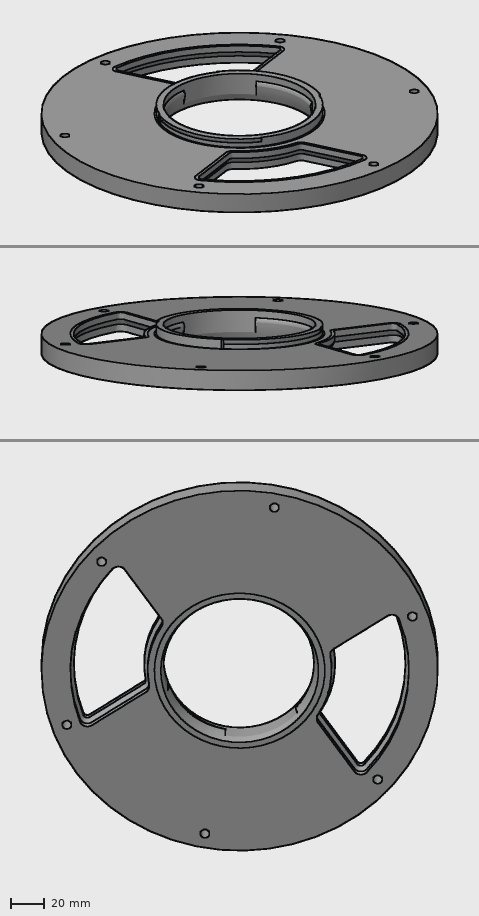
import cadquery as cq
import math

plate_diameter = 240
plate_thickness = 12.2
total_height = 18.0

screw_hole_diameter = 5.5
screw_hole_count = 6
screw_circle_radius = 110.6
first_screw_angle = 90

window_outer_radius = 102.5
window_inner_radius = 55.7
window_side_offset = 20.0
window_corner_radius = 4.8
frame_thickness = 2.2
frame_taper_top = 8.2
frame_taper_bottom = 4.5
window_angles = (0, 180)

flange_radius = 103.2 / 2
bore_radius = 92.2 / 2
neck_radius = 50.5
wall_middle_radius = (bore_radius + neck_radius) / 2

arc_bow = 0.25

lip_radius = 51.0
lip_bottom = 15.0
lip_sweep = 88
lip_start_angles = (90, 270)
stop_width = 1.5
stop_offset = 0.35

bead_radius = 45.0
bead_top = 13.5
bead_crest = 10.8
bead_foot_radius = 47.8
bead_waist_height = 4.5
bead_sweep = 60
bead_start_angles = (90, 210, 330)


def cylinder(radius, bottom, top):
    return cq.Workplane("XY").workplane(offset=bottom).circle(radius).extrude(top - bottom)


def turned(workplane, angle):
    return workplane.rotate((0, 0, 0), (0, 0, 1), angle)


def window_block(inset, bottom, top):
    """Block filling the +X window, shrunk on every side by the inset."""
    height = top - bottom
    outer_radius = window_outer_radius - inset
    inner_radius = window_inner_radius + inset
    apex = (window_side_offset + inset) * math.sqrt(2)
    reach = plate_diameter
    wedge = (
        cq.Workplane("XY")
        .workplane(offset=bottom)
        .polyline([(apex, 0), (apex + reach, reach), (apex + reach, -reach)])
        .close()
        .extrude(height)
    )
    block = cylinder(outer_radius, bottom, top).cut(cylinder(inner_radius, bottom, top)).intersect(wedge)
    return block.edges("|Z").fillet(window_corner_radius - inset)


def frame_taper():
    """Tapered part of a frame's opening, from the window wall up to the frame's inner wall."""
    lower = window_block(0, frame_taper_bottom, plate_thickness).faces("<Z").wires().val()
    upper = window_block(frame_thickness, frame_taper_top, plate_thickness).faces("<Z").wires().val()
    return cq.Workplane(cq.Solid.makeLoft([lower, upper], True))


def make_frame(angle):
    frame = window_block(0, frame_taper_bottom, plate_thickness)
    frame = frame.cut(window_block(frame_thickness, frame_taper_top, plate_thickness))
    frame = frame.cut(frame_taper())
    return turned(frame, angle)


def make_plate():
    plate = cylinder(plate_diameter / 2, 0, plate_thickness)
    plate = plate.cut(cylinder(flange_radius, 0, plate_thickness))
    for angle in window_angles:
        plate = plate.cut(turned(window_block(0, 0, plate_thickness), angle))
    holes = (
        cq.Workplane("XY")
        .polarArray(screw_circle_radius, first_screw_angle, 360, screw_hole_count)
        .circle(screw_hole_diameter / 2)
        .extrude(plate_thickness)
    )
    return plate.cut(holes)


def make_lip(start_angle):
    """Lip with a rounded underside, rooted inside the neck wall."""
    middle_radius = lip_radius - arc_bow * (lip_radius - neck_radius)
    middle_height = (lip_bottom + total_height) / 2
    lip = (
        cq.Workplane("XZ")
        .moveTo(wall_middle_radius, lip_bottom)
        .lineTo(neck_radius, lip_bottom)
        .threePointArc((middle_radius, middle_height), (lip_radius, total_height))
        .lineTo(wall_middle_radius, total_height)
        .close()
        .revolve(lip_sweep, (0, 0, 0), (0, 1, 0))
    )
    return turned(lip, start_angle)


def make_stop(start_angle):
    """Full-height stop across the end of a lip."""
    stop = (
        cylinder(lip_radius, plate_thickness, total_height)
        .cut(cylinder(wall_middle_radius, plate_thickness, total_height))
        .intersect(
            cq.Workplane("XY")
            .workplane(offset=plate_thickness)
            .center(lip_radius, stop_offset)
            .rect(lip_radius, stop_width)
            .extrude(total_height - plate_thickness)
        )
    )
    return turned(stop, start_angle)


def flared_space():
    """Round space below the bead crests, widening to the flared foot."""
    return (
        cq.Workplane("XZ")
        .moveTo(0, 0)
        .lineTo(bead_foot_radius, 0)
        .threePointArc((bore_radius, bead_waist_height), (bead_radius, bead_crest))
        .lineTo(0, bead_crest)
        .close()
        .revolve(360, (0, 0, 0), (0, 1, 0))
    )


def make_bead(start_angle):
    """Bead that bulges into the bore, with a rounded top and a flared underside."""
    middle_radius = bead_radius + arc_bow * (bore_radius - bead_radius)
    middle_height = (bead_crest + bead_top) / 2
    bead = (
        cq.Workplane("XZ")
        .moveTo(neck_radius, 0)
        .lineTo(bead_radius, 0)
        .lineTo(bead_radius, bead_crest)
        .threePointArc((middle_radius, middle_height), (bore_radius, bead_top))
        .lineTo(neck_radius, bead_top)
        .close()
        .revolve(bead_sweep, (0, 0, 0), (0, 1, 0))
    )
    return turned(bead, start_angle)


def make_ring():
    ring = cylinder(flange_radius, 0, plate_thickness)
    ring = ring.union(cylinder(neck_radius, plate_thickness, total_height))
    ring = ring.cut(cylinder(bore_radius, 0, total_height))
    for angle in lip_start_angles:
        ring = ring.union(make_lip(angle)).union(make_stop(angle))
    for angle in bead_start_angles:
        ring = ring.union(make_bead(angle))
    return ring.cut(flared_space())


plate = make_plate()
ring = make_ring()
frames = [make_frame(angle) for angle in window_angles]

result = cq.Compound.makeCompound([plate.val(), ring.val(), *[frame.val() for frame in frames]])